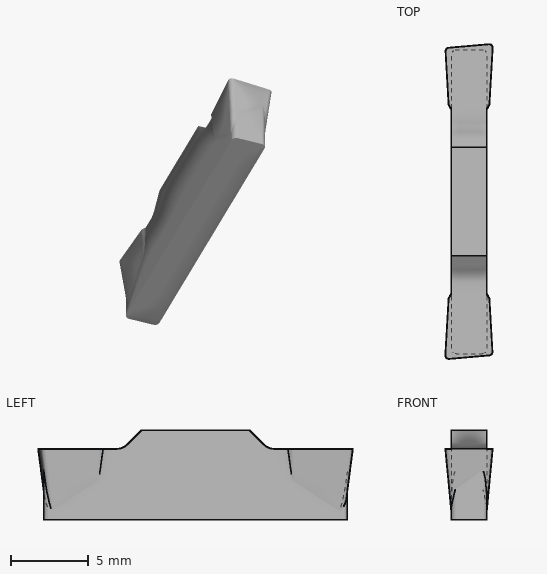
import cadquery as cq
import math

body_width = 2.28
body_length = 19.5
body_corner_radius = 0.32
shoulder_height = 4.57
total_height = 5.75
ridge_half_length = 3.47
ridge_arc_radius = 0.95
ridge_slope = math.radians(45)

overall_length = 20.2
overall_width = 3.05
head_corner_radius = 0.25
edge_tilt = math.radians(5)
side_taper = math.radians(3.3)
side_relief = math.radians(5)
end_relief = math.radians(7)
neck_start = 6.2
neck_angle = math.radians(32)
neck_radius = 0.25

corner_spread = math.cos(edge_tilt + side_taper)
width_overshoot = head_corner_radius * ((math.cos(edge_tilt) + math.sin(side_taper)) / corner_spread - 1)
length_overshoot = head_corner_radius * ((math.cos(side_taper) + math.sin(edge_tilt)) / corner_spread - 1)
head_half_width = overall_width / 2 + width_overshoot
head_reach = overall_length / 2 + length_overshoot


def make_body():
    """Constant-width bar with a raised ridge and rounded vertical end corners."""
    half_length = body_length / 2
    arc_rise = ridge_arc_radius * (1 - math.cos(ridge_slope))
    arc_run = ridge_arc_radius * math.sin(ridge_slope)
    arc_top = shoulder_height + arc_rise
    arc_start = ridge_half_length + (total_height - arc_top) / math.tan(ridge_slope)
    arc_end = arc_start + arc_run
    arc_mid = (
        arc_end - ridge_arc_radius * math.sin(ridge_slope / 2),
        shoulder_height + ridge_arc_radius * (1 - math.cos(ridge_slope / 2)),
    )
    return (
        cq.Workplane("YZ")
        .moveTo(-half_length, 0)
        .lineTo(half_length, 0)
        .lineTo(half_length, shoulder_height)
        .lineTo(arc_end, shoulder_height)
        .threePointArc(arc_mid, (arc_start, arc_top))
        .lineTo(ridge_half_length, total_height)
        .lineTo(-ridge_half_length, total_height)
        .lineTo(-arc_start, arc_top)
        .threePointArc((-arc_mid[0], arc_mid[1]), (-arc_end, shoulder_height))
        .lineTo(-half_length, shoulder_height)
        .close()
        .extrude(body_width / 2, both=True)
        .edges("|Z and (<Y or >Y)")
        .fillet(body_corner_radius)
    )


def head_outline(depth):
    """Sharp-cornered plan of the +Y head at a depth below the shoulder."""
    side_shift = depth * math.tan(side_relief) / math.cos(side_taper)
    end_shift = depth * math.tan(end_relief) / math.cos(edge_tilt)
    middle_half_width = head_half_width - head_reach * math.tan(side_taper) - side_shift
    middle_reach = head_reach - head_half_width * math.tan(edge_tilt) - end_shift

    def end_corner(side):
        slope = side * math.tan(edge_tilt)
        y = (middle_reach + slope * middle_half_width) / (1 - slope * math.tan(side_taper))
        return (side * (middle_half_width + y * math.tan(side_taper)), y)

    neck_half_width = middle_half_width + neck_start * math.tan(side_taper)
    tip_half_width = neck_half_width / 2
    tip_y = neck_start - (neck_half_width - tip_half_width) / math.tan(neck_angle)
    return [
        (-tip_half_width, tip_y),
        (tip_half_width, tip_y),
        (neck_half_width, neck_start),
        end_corner(1),
        end_corner(-1),
        (-neck_half_width, neck_start),
    ]


def make_head():
    """Head tapering from the shoulder to the base, with its upright edges rounded."""
    head = (
        cq.Workplane("XY")
        .polyline(head_outline(shoulder_height))
        .close()
        .workplane(offset=shoulder_height)
        .polyline(head_outline(0))
        .close()
        .loft(ruled=True)
    )
    margin = 0.4
    end_zone = cq.selectors.BoxSelector(
        (-body_width, head_reach - 3 * margin, margin),
        (body_width, head_reach + margin, shoulder_height - margin),
    )
    neck_zone = cq.selectors.BoxSelector(
        (-body_width, neck_start - margin / 2, margin),
        (body_width, neck_start + margin / 2, shoulder_height - margin),
    )
    return (
        head.edges(end_zone)
        .fillet(head_corner_radius)
        .edges(neck_zone)
        .fillet(neck_radius)
    )


head = make_head()
opposite_head = head.rotate((0, 0, 0), (0, 0, 1), 180)
result = make_body().union(head).union(opposite_head)